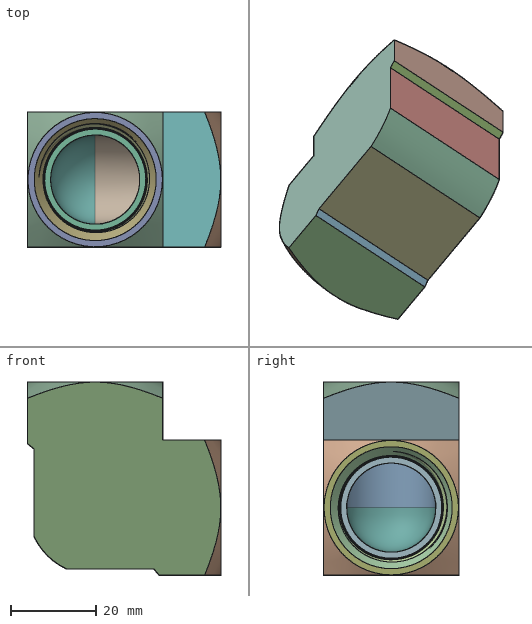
import cadquery as cq
import math

overall = 45.4
width = 31.75
half = width / 2
reach = overall - half

relief_depth = 1.5
relief_start = 30.85
relief_end = 29.65

crown_radius = 15.75
crown_angle = 30.0

bore_radius = 10.45
thread_depth = 14.85
mouth_radius = 14.3
countersink_depth = 2.0
crest_radius = 12.3
taper_angle = math.degrees(math.atan(1 / 32))
pitch = 1.8
groove_depth = 0.9
root_flat = 0.23
flank_angle = 30.0
first_root_depth = 0.95
thread_turns = 7.5
groove_overlap = 0.15


def make_body():
    """Extruded L outline with the outer corner rounded about the elbow centre."""
    back = relief_depth - half
    arc_end = -math.sqrt(half**2 - back**2)
    arc_middle = -half * math.sqrt(0.5)
    return (
        cq.Workplane("XZ", origin=(0, half, 0))
        .moveTo(-half, reach)
        .lineTo(half, reach)
        .lineTo(half, half)
        .lineTo(reach, half)
        .lineTo(reach, -half)
        .lineTo(relief_start - half, -half)
        .lineTo(relief_end - half, back)
        .lineTo(arc_end, back)
        .threePointArc((arc_middle, arc_middle), (back, arc_end))
        .lineTo(back, relief_end - half)
        .lineTo(-half, relief_start - half)
        .close()
        .extrude(width)
    )


def crown_cutter():
    """Ring above a shallow cone that trims the corners of the upright head."""
    outer = width
    drop = (outer - crown_radius) * math.tan(math.radians(crown_angle))
    return (
        cq.Workplane("XZ")
        .moveTo(crown_radius, reach)
        .lineTo(outer, reach)
        .lineTo(outer, reach - drop)
        .close()
        .revolve(360, (0, 0), (0, 1))
        .intersect(cq.Workplane().box(width, width, reach, centered=(True, True, False)))
    )


def crest_at(depth):
    """Radius of the tapered thread crest at a depth below the port face."""
    return crest_radius - depth * math.tan(math.radians(taper_angle))


def thread_groove():
    """Right-hand V groove along a tapered helix, stopped at the thread floor."""
    height = thread_turns * pitch
    start_depth = first_root_depth + height
    start_radius = crest_at(start_depth)
    flank_slope = math.tan(math.radians(flank_angle))
    root_half = root_flat / 2
    mouth_half = root_half + (groove_depth + groove_overlap) * flank_slope
    inner = start_radius - groove_overlap
    outer = start_radius + groove_depth
    helix = cq.Wire.makeHelix(pitch, height, start_radius, angle=taper_angle)
    groove = (
        cq.Workplane("XZ")
        .polyline([(inner, -mouth_half), (outer, -root_half), (outer, root_half), (inner, mouth_half)])
        .close()
        .sweep(cq.Workplane(helix), isFrenet=True)
    )
    groove = groove.translate((0, 0, reach - start_depth))
    floor = reach - thread_depth
    limit = cq.Workplane().workplane(offset=floor).circle(half).extrude(thread_depth)
    return groove.intersect(limit)


def port_cavity():
    """Bore, tapered thread hole and countersink of the upright port."""
    neck_radius = crest_at(countersink_depth)
    floor = reach - thread_depth
    return (
        cq.Workplane("XZ")
        .moveTo(0, 0)
        .lineTo(bore_radius, 0)
        .lineTo(bore_radius, floor)
        .lineTo(crest_at(thread_depth), floor)
        .lineTo(neck_radius, reach - countersink_depth)
        .lineTo(mouth_radius, reach)
        .lineTo(0, reach)
        .close()
        .revolve(360, (0, 0), (0, 1))
    )


def both_ports(cutter):
    """The upright cutter and its copy turned to the +X port."""
    return [cutter, cutter.rotate((0, 0, 0), (0, 1, 0), 90)]


result = make_body()
result = result.cut(cq.Workplane().sphere(bore_radius))
threaded_port = port_cavity().union(thread_groove())
for cutter in (crown_cutter(), threaded_port):
    for port_cutter in both_ports(cutter):
        result = result.cut(port_cutter)